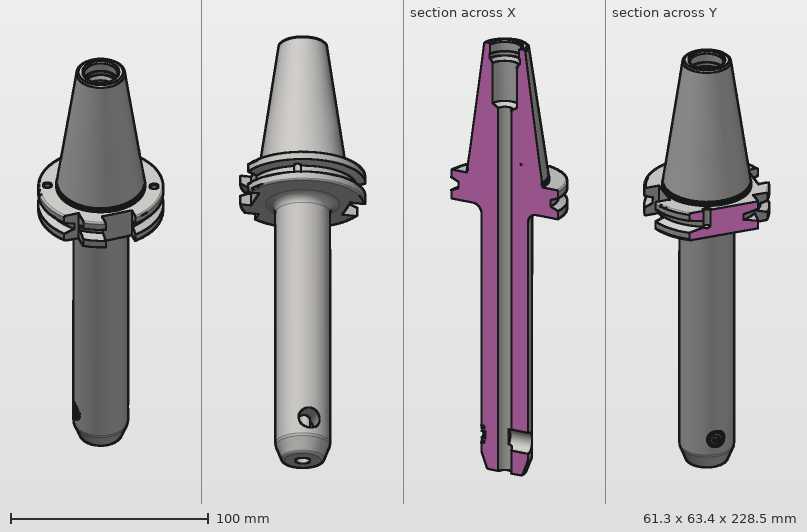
import cadquery as cq
import math

total_length = 228.5
taper_top = 68.3
nose_bottom = taper_top - total_length
flange_top = -3.5
flange_bottom = -19.2

taper_slope = 7 / 48
taper_gauge_radius = 22.2
taper_small_radius = taper_gauge_radius - taper_top * taper_slope
taper_top_chamfer = 1.0

collar_radius = 22.5
relief_radius = 22.0
relief_top = -1.4
relief_bottom = -2.3

flange_radius = 31.7
flange_edge_fillet = 1.0
groove_center = -11.2
groove_floor_radius = 27.5
groove_floor_width = 3.2
groove_rim_width = 6.9

slot_width = 16.0
slot_floor_left = -22.8
slot_floor_right = 25.0
notch_edge = 18.3

shank_radius = 14.0
shank_root_fillet = 4.8
nose_height = 8.7
nose_tip_radius = 10.5
nose_shoulder_fillet = 3.7
nose_tip_fillet = 1.8

bore_radius = 3.77
mouth_radius = 9.4
mouth_chamfer = 1.0
counterbore_radius = mouth_radius - mouth_chamfer
counterbore_depth = 6.0
thread_relief_radius = 9.0
thread_relief_width = 2.3
countersink_radius = 8.5
countersink_height = 2.3
thread_radius = 7.0
thread_depth = 32.0
drill_point_angle = 118

coolant_x = 9.4
coolant_y = 25.4
coolant_radius = 1.8
coolant_chamfer = 0.5
coolant_bottom = -12.8

cross_hole_height = 18.0
cross_hole_z = nose_bottom + cross_hole_height
rear_hole_radius = 5.5
screw_hole_radius = 4.0
screw_hole_mouth_radius = 4.5
screw_hole_mouth_depth = 1.4
screw_hole_depth = 1.8
screw_radius = 3.5
screw_recess = 0.2
socket_across_flats = 3.5
socket_sides = 6
socket_turn = 30
socket_depth = 2.3


def make_body():
    """Revolved outside shape: taper, collar, flange and shank."""
    floor_half = groove_floor_width / 2
    rim_half = groove_rim_width / 2
    chamfer_end_radius = taper_small_radius + taper_top_chamfer * taper_slope
    taper_end_radius = taper_gauge_radius - relief_top * taper_slope
    profile = (
        cq.Workplane("XZ")
        .moveTo(0, taper_top)
        .lineTo(taper_small_radius - taper_top_chamfer, taper_top)
        .lineTo(chamfer_end_radius, taper_top - taper_top_chamfer)
        .lineTo(taper_end_radius, relief_top)
        .lineTo(relief_radius, relief_top)
        .lineTo(relief_radius, relief_bottom)
        .lineTo(collar_radius, relief_bottom)
        .lineTo(collar_radius, flange_top)
        .lineTo(flange_radius - flange_edge_fillet, flange_top)
        .radiusArc((flange_radius, flange_top - flange_edge_fillet), flange_edge_fillet)
        .lineTo(flange_radius, groove_center + rim_half)
        .lineTo(groove_floor_radius, groove_center + floor_half)
        .lineTo(groove_floor_radius, groove_center - floor_half)
        .lineTo(flange_radius, groove_center - rim_half)
        .lineTo(flange_radius, flange_bottom + flange_edge_fillet)
        .radiusArc((flange_radius - flange_edge_fillet, flange_bottom), flange_edge_fillet)
        .lineTo(shank_radius + shank_root_fillet, flange_bottom)
        .radiusArc((shank_radius, flange_bottom - shank_root_fillet), -shank_root_fillet)
        .lineTo(shank_radius, nose_bottom + nose_height)
        .lineTo(nose_tip_radius, nose_bottom)
        .lineTo(0, nose_bottom)
        .close()
    )
    body = profile.revolve(360, (0, 0, 0), (0, 1, 0))
    nose_cone = body.faces("%CONE and (not >Z)").faces("<Z")
    body = nose_cone.edges(">Z and %CIRCLE").fillet(nose_shoulder_fillet)
    return body.faces("<Z").edges().fillet(nose_tip_fillet)


def make_axial_bore():
    """Through bore with the stepped drawbar thread hole at the taper end."""
    relief_floor = taper_top - counterbore_depth - thread_relief_width
    thread_bottom = taper_top - thread_depth
    cone_height = (thread_radius - bore_radius) / math.tan(math.radians(drill_point_angle / 2))
    return (
        cq.Workplane("XZ")
        .moveTo(0, taper_top)
        .lineTo(mouth_radius, taper_top)
        .lineTo(counterbore_radius, taper_top - mouth_chamfer)
        .lineTo(counterbore_radius, taper_top - counterbore_depth)
        .lineTo(thread_relief_radius, taper_top - counterbore_depth)
        .lineTo(thread_relief_radius, relief_floor)
        .lineTo(countersink_radius, relief_floor)
        .lineTo(thread_radius, relief_floor - countersink_height)
        .lineTo(thread_radius, thread_bottom)
        .lineTo(bore_radius, thread_bottom - cone_height)
        .lineTo(bore_radius, nose_bottom)
        .lineTo(0, nose_bottom)
        .close()
        .revolve(360, (0, 0, 0), (0, 1, 0))
    )


def flange_cutter(x_from, x_to, y_from, y_to):
    """Box over the full flange thickness."""
    corner = cq.Workplane("XY", origin=(x_from, y_from, flange_bottom))
    return corner.box(x_to - x_from, y_to - y_from, flange_top - flange_bottom, centered=False)


def cut_flange(body):
    """Two opposed drive slots of unequal depth and one corner notch."""
    half = slot_width / 2
    left_slot = flange_cutter(-flange_radius, slot_floor_left, -half, half)
    right_slot = flange_cutter(slot_floor_right, flange_radius, -half, half)
    notch = flange_cutter(notch_edge, flange_radius, -flange_radius, -notch_edge)
    return body.cut(left_slot).cut(right_slot).cut(notch)


def make_coolant_hole(x, y):
    """Blind axial hole with a chamfered mouth in the flange top."""
    depth = flange_top - coolant_bottom
    top = cq.Workplane("XY", origin=(x, y, flange_top))
    point_height = coolant_radius / math.tan(math.radians(drill_point_angle / 2))
    point = cq.Workplane(
        cq.Solid.makeCone(
            coolant_radius,
            0,
            point_height,
            pnt=cq.Vector(x, y, coolant_bottom),
            dir=cq.Vector(0, 0, -1),
        )
    )
    hole = top.circle(coolant_radius).extrude(-depth)
    mouth = top.circle(coolant_radius + coolant_chamfer).extrude(-coolant_chamfer, taper=45)
    return hole.union(mouth).union(point)


def cross_cylinder(radius, y_from, y_to):
    """Cylinder along Y at the height of the cross holes."""
    return (
        cq.Workplane("XZ", origin=(0, y_from, cross_hole_z))
        .circle(radius)
        .extrude(y_from - y_to)
    )


def cut_rear_hole(body):
    """Radial hole from the +Y side into the bore."""
    return body.cut(cross_cylinder(rear_hole_radius, 0, shank_radius))


def cut_screw_hole(body):
    """Stepped hole in the -Y side, filled by a socket set screw."""
    screw_face = screw_recess - shank_radius
    hole_floor = screw_hole_depth - shank_radius
    mouth_floor = screw_hole_mouth_depth - shank_radius
    mouth = cross_cylinder(screw_hole_mouth_radius, -shank_radius, mouth_floor)
    hole = cross_cylinder(screw_hole_radius, -shank_radius, hole_floor)
    screw = cross_cylinder(screw_radius, screw_face, hole_floor)
    socket = (
        cq.Workplane("XZ", origin=(0, screw_face, cross_hole_z))
        .transformed(rotate=(0, 0, socket_turn))
        .polygon(socket_sides, socket_across_flats, circumscribed=True)
        .extrude(-socket_depth)
    )
    return body.cut(mouth.union(hole).cut(screw)).cut(socket)


result = cut_flange(make_body()).cut(make_axial_bore())
for side in (1, -1):
    result = result.cut(make_coolant_hole(side * coolant_x, side * coolant_y))
result = cut_screw_hole(cut_rear_hole(result))